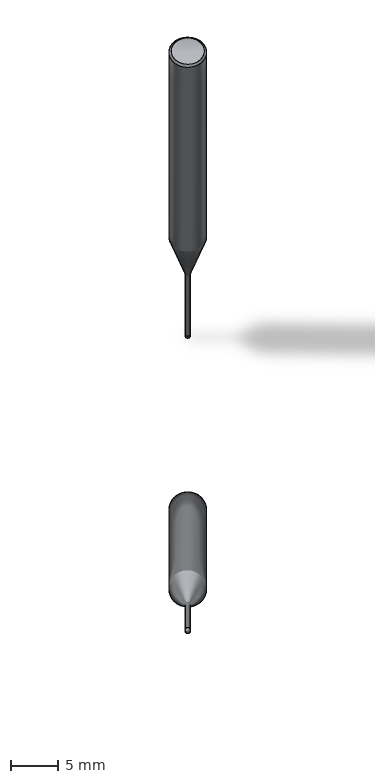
import cadquery as cq
import math

total_length = 50.0

tip_radius = 0.3
tip_length = 0.55

shank_radius = 2.0
shank_start = 17.55
end_chamfer_height = 0.2
end_chamfer_width = 0.25
neck_radius = 0.275
cone_half_angle = math.radians(15)
neck_blend_radius = 1.0

cone_length = (shank_radius - neck_radius) / math.tan(cone_half_angle)
cone_start = shank_start - cone_length

blend_reach = neck_blend_radius * math.tan(cone_half_angle / 2)
blend_bottom = cone_start - blend_reach
blend_top_radius = neck_radius + blend_reach * math.sin(cone_half_angle)
blend_top = cone_start + blend_reach * math.cos(cone_half_angle)
blend_mid_radius = neck_radius + neck_blend_radius * (1 - math.cos(cone_half_angle / 2))
blend_mid = blend_bottom + neck_blend_radius * math.sin(cone_half_angle / 2)


def revolve_about_z(profile):
    """Turn a closed radius-height profile into a solid around the Z axis."""
    return profile.close().revolve(360, (0, 0, 0), (0, 1, 0))


def make_shank():
    """Chamfered shank, cone and neck, ending flat on top of the cutting tip."""
    profile = (
        cq.Workplane("XZ")
        .moveTo(0, tip_length)
        .lineTo(neck_radius, tip_length)
        .lineTo(neck_radius, blend_bottom)
        .threePointArc((blend_mid_radius, blend_mid), (blend_top_radius, blend_top))
        .lineTo(shank_radius, shank_start)
        .lineTo(shank_radius, total_length - end_chamfer_height)
        .lineTo(shank_radius - end_chamfer_width, total_length)
        .lineTo(0, total_length)
    )
    return revolve_about_z(profile)


def make_cutting_tip():
    """Hemispherical nose below a short cylindrical land."""
    arc_offset = tip_radius * math.sin(math.radians(45))
    profile = (
        cq.Workplane("XZ")
        .moveTo(0, 0)
        .threePointArc((arc_offset, tip_radius - arc_offset), (tip_radius, tip_radius))
        .lineTo(tip_radius, tip_length)
        .lineTo(0, tip_length)
    )
    return revolve_about_z(profile)


shank = make_shank()
cutting_tip = make_cutting_tip()

result = cq.Compound.makeCompound([shank.val(), cutting_tip.val()])